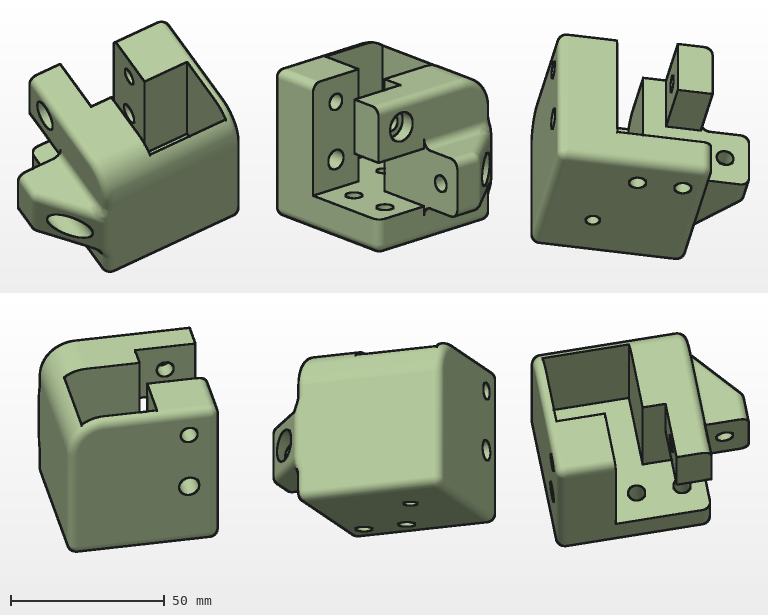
import cadquery as cq
import math

length = 50.0
depth = 51.0
height = 51.0
edge_radius = 3.0
corner_radius = 12.0

bar = 20.1
floor_z = 12.05
channel_front_y = 11.6
channel_back_y = channel_front_y + bar
channel_top_z = floor_z + bar

pocket_length = 25.05
pocket_front_y = 19.15
pocket_back_y = 47.7

lug_reach = 16.0
lug_tip_length = 9.9

screw_diameter = 5.55
back_hole_diameter = 6.7
pocket_hole_diameter = 4.6
head_diameter = 10.0
grip = 6.7
bar_center_x = bar / 2
bar_center_z = floor_z + bar / 2
upper_hole_pitch = 20.0
upper_hole_z = bar_center_z + upper_hole_pitch
floor_hole_y = 8.0
floor_hole_pitch = 15.0
lug_hole_y = -lug_reach / 2


def box(x0, x1, y0, y1, z0, z1):
    """Box between two opposite corners."""
    return cq.Workplane("XY").box(x1 - x0, y1 - y0, z1 - z0, centered=False).translate((x0, y0, z0))


def rod(diameter, start, direction, reach):
    """Cylinder used to cut a hole, starting at a point and running along a direction."""
    return cq.Workplane(cq.Solid.makeCylinder(diameter / 2, reach, cq.Vector(*start), cq.Vector(*direction)))


def outer_block():
    """Body block with its large top right corner round, plus the slanted lug."""
    block = box(0, length, 0, depth, 0, height)
    block = block.edges("|Y and >X and >Z").fillet(corner_radius)
    lug = (
        cq.Workplane("XY", origin=(0, 0, floor_z))
        .moveTo(bar, 0)
        .lineTo(bar, -lug_reach)
        .lineTo(bar + lug_tip_length, -lug_reach)
        .lineTo(length, 0)
        .close()
        .extrude(bar)
    )
    return block.union(lug)


def cavity():
    """Upright channel, front channel and pocket, all down to the same floor."""
    upright = box(0, bar, channel_front_y, channel_back_y, floor_z, height)
    front = box(0, bar, 0, channel_back_y, floor_z, channel_top_z)
    pocket = box(bar, bar + pocket_length, pocket_front_y, pocket_back_y, floor_z, height)
    return upright.union(front).union(pocket)


def edges_to_round(block):
    """Outer edges to round, with the hollow corners between the lug and the front face."""
    slant_middle_x = (bar + lug_tip_length + length) / 2
    corner_inset = corner_radius * (1 - math.cos(math.pi / 4))
    lug_middle_x = (bar + length) / 2
    edges = block.faces(">Y").edges().vals()
    edges += block.faces("<Z").edges().vals()
    edges += block.faces("<Y").edges("not <X").vals()
    single_edge_middles = [
        (0, (channel_back_y + depth) / 2, height),
        (0, 0, floor_z / 2),
        ((length - corner_radius) / 2, 0, height),
        (length - corner_inset, 0, height - corner_inset),
        (length, 0, floor_z / 2),
        (length, 0, bar_center_z),
        (length, 0, (channel_top_z + height - corner_radius) / 2),
    ]
    for z in (floor_z, channel_top_z):
        single_edge_middles.append((lug_middle_x, 0, z))
        single_edge_middles.append((slant_middle_x, -lug_reach / 2, z))
    for middle in single_edge_middles:
        edges += block.edges(cq.NearestToPointSelector(middle)).vals()
    return edges


def screw_holes():
    """All screw holes with their head recesses, as one list of cutters."""
    up = (0, 0, 1)
    inward = (0, 1, 0)
    rightward = (1, 0, 0)
    holes = [
        rod(screw_diameter, (bar, lug_hole_y, bar_center_z), rightward, length),
        rod(head_diameter, (bar + grip, lug_hole_y, bar_center_z), rightward, length),
        rod(screw_diameter, (bar_center_x, 0, upper_hole_z), inward, depth),
        rod(head_diameter, (bar_center_x, 0, upper_hole_z), inward, channel_front_y - grip),
        rod(back_hole_diameter, (bar_center_x, channel_back_y, bar_center_z), inward, depth),
    ]
    for y in (floor_hole_y, floor_hole_y + floor_hole_pitch):
        holes.append(rod(screw_diameter, (bar_center_x, y, 0), up, floor_z))
    pocket_center = (bar + pocket_length / 2, (pocket_front_y + pocket_back_y) / 2, 0)
    holes.append(rod(pocket_hole_diameter, pocket_center, up, floor_z))
    return holes


sharp_block = outer_block().cut(cavity())
rounded_block = sharp_block.val().fillet(edge_radius, edges_to_round(sharp_block))

result = cq.Workplane(rounded_block)
for hole in screw_holes():
    result = result.cut(hole)